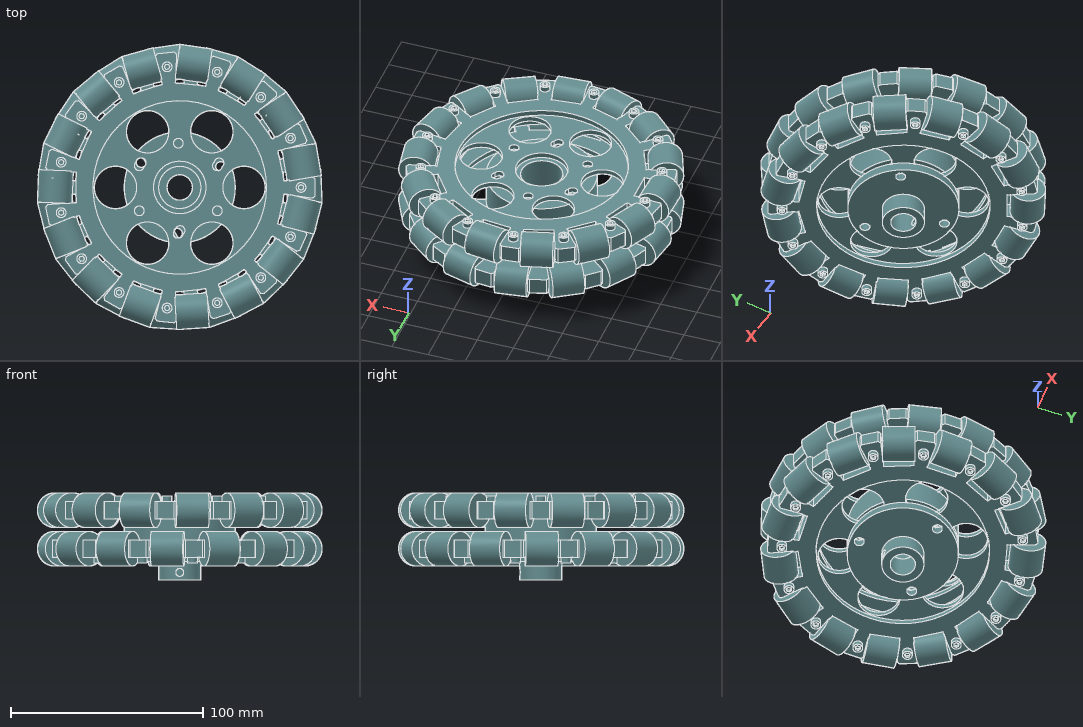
import cadquery as cq
import math


wheel_pitch = 20.0
spoke_count = 15
spoke_step = 360 / spoke_count

rim_thickness = 9.0
web_thickness = 3.0
rim_radius = 54.0
recess_radius = 45.2
recess_depth = (rim_thickness - web_thickness) / 2
web_bore_radius = 13.7
window_count = 6
window_radius = 11.0
window_circle_radius = 33.5

web_hole_radius = 2.5
web_hole_circle_radius = 23.5
six_hole_centre = (-0.7, -0.5)
three_hole_centre = (0.1, 1.0)
pattern_start_angle = 30

spoke_root_width = 6.8
spoke_tip_width = 11.6
spoke_tip_radius = 70.5
spoke_tip_chamfer = 1.3

roller_radius = 9.0
roller_length = 17.0
roller_axis_radius = 64.8
roller_shift = 0.5
roller_tilt = 2.3

screw_circle_radius = 63.2
screw_head_radius = 2.5
screw_head_height = 3.0
socket_width = 2.5
socket_depth = 1.5

drum_radius = 29.0
spacer_length = wheel_pitch - web_thickness
spacer_bore_radius = 11.0
flange_thickness = 5.0
hub_radius = 11.0
hub_bore_radius = 6.5
hub_height = 14.9
hub_end_gap = 4.0
set_screw_radius = 2.1

clamp_hole_radius = web_hole_radius
clamp_circle_radius = 24.0
clamp_hole_count = 3
clamp_start_angle = 27


def disc(radius, bottom, height):
    """A cylinder on the Z axis."""
    return cq.Workplane("XY").workplane(offset=bottom).circle(radius).extrude(height)


def hole_ring(centre, ring_radius, start_angle, count, hole_radius, bottom, height):
    """Cylinders spread evenly around a circle, for cutting."""
    return (
        cq.Workplane("XY", origin=(centre[0], centre[1], bottom))
        .polarArray(ring_radius, start_angle, 360, count)
        .circle(hole_radius)
        .extrude(height)
    )


def make_rim():
    """Fifteen-sided disc with a recess in both faces, leaving a pierced web."""
    corner_radius = rim_radius / math.cos(math.pi / spoke_count)
    rim = (
        cq.Workplane("XY", origin=(0, 0, -rim_thickness / 2))
        .polygon(spoke_count, 2 * corner_radius)
        .extrude(rim_thickness)
    )
    rim = rim.cut(disc(recess_radius, web_thickness / 2, recess_depth))
    rim = rim.cut(disc(recess_radius, -rim_thickness / 2, recess_depth))
    return pierce_web(rim)


def pierce_web(rim):
    """Cut the bore, the round windows and the two small hole patterns."""
    bottom = -web_thickness / 2
    rim = rim.cut(disc(web_bore_radius, bottom, web_thickness))
    rim = rim.cut(hole_ring((0, 0), window_circle_radius, 0, window_count,
                            window_radius, bottom, web_thickness))
    for centre, count in ((six_hole_centre, 6), (three_hole_centre, 3)):
        rim = rim.cut(hole_ring(centre, web_hole_circle_radius, pattern_start_angle, count,
                                web_hole_radius, bottom, web_thickness))
    return rim


def make_spoke():
    """Spoke along +X, rooted inside the rim, with its screw head on top."""
    spoke = (
        cq.Workplane("XY", origin=(0, 0, -rim_thickness / 2))
        .polyline([
            (rim_radius, -spoke_root_width / 2),
            (spoke_tip_radius, -spoke_tip_width / 2),
            (spoke_tip_radius, spoke_tip_width / 2),
            (rim_radius, spoke_root_width / 2),
        ])
        .close()
        .extrude(rim_thickness)
        .edges("|Z and >X")
        .chamfer(spoke_tip_chamfer)
    )
    screw_head = (
        cq.Workplane("XY", origin=(screw_circle_radius, 0, rim_thickness / 2))
        .circle(screw_head_radius)
        .extrude(screw_head_height)
        .faces(">Z")
        .workplane()
        .polygon(6, socket_width, circumscribed=True)
        .cutBlind(-socket_depth)
    )
    return spoke.union(screw_head)


def make_roller():
    """Roller beside the +X axis, lying across it."""
    return (
        cq.Workplane("XZ", origin=(0, roller_length / 2, 0))
        .circle(roller_radius)
        .extrude(roller_length)
        .rotate((0, 0, 0), (0, 0, 1), -roller_tilt)
        .translate((roller_axis_radius, -roller_shift, 0))
    )


def make_wheel():
    """Rim, spokes, screw heads and rollers as one solid, centred on the origin."""
    spoke = make_spoke()
    roller = make_roller()
    spokes = []
    rollers = []
    for index in range(spoke_count):
        spoke_angle = index * spoke_step
        roller_angle = spoke_angle + spoke_step / 2
        spokes.append(spoke.rotate((0, 0, 0), (0, 0, 1), spoke_angle).val())
        rollers.append(roller.rotate((0, 0, 0), (0, 0, 1), roller_angle).val())
    rim = make_rim().val()
    return cq.Workplane(rim.fuse(*spokes, *rollers).clean())


def make_spacer():
    """Drum clamped between the two webs."""
    bottom = -spacer_length / 2
    spacer = disc(drum_radius, bottom, spacer_length)
    spacer = spacer.cut(disc(spacer_bore_radius, bottom, spacer_length))
    return spacer.cut(hole_ring((0, 0), clamp_circle_radius, clamp_start_angle, clamp_hole_count,
                                clamp_hole_radius, bottom, spacer_length))


def make_hub():
    """Flange against the lower web, with a bored neck below it."""
    top = -(wheel_pitch + web_thickness) / 2
    bottom = top - hub_height
    flange_bottom = top - flange_thickness
    hub = disc(drum_radius, flange_bottom, flange_thickness)
    hub = hub.union(disc(hub_radius, bottom, hub_height))
    hub = hub.cut(disc(hub_bore_radius, bottom, hub_height))
    hub = hub.cut(hole_ring((0, 0), clamp_circle_radius, clamp_start_angle, clamp_hole_count,
                            clamp_hole_radius, flange_bottom, flange_thickness))
    set_screw_hole = (
        cq.Workplane("XZ", origin=(0, 0, bottom + hub_end_gap))
        .circle(set_screw_radius)
        .extrude(hub_radius)
    )
    return hub.cut(set_screw_hole)


upper_wheel = make_wheel().translate((0, 0, wheel_pitch / 2))
wheels = []
for flip_angle in (0, 180):
    wheels.append(upper_wheel.rotate((0, 0, 0), (0, 1, 0), flip_angle).val())

spacer = make_spacer()
hub = make_hub()

result = cq.Compound.makeCompound([*wheels, spacer.val(), hub.val()])